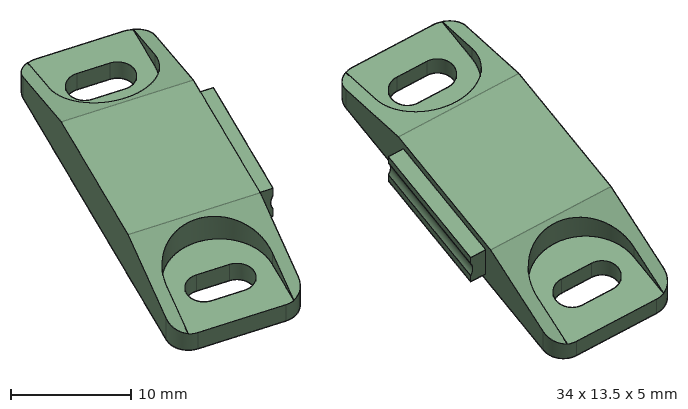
import cadquery as cq

length = 34.0
body_width = 12.0
height = 5.0
end_height = 2.0
flat_length = 14.0
corner_radius = 2.0

overall_width = 13.5
tab_length = 12.5
tab_height = 3.4
tab_bottom = 0.78
groove_height = 1.65
groove_depth = 0.2

recess_width = 9.6
recess_center_from_end = 4.7
slot_center_from_end = 4.5
slot_width = 3.2
slot_length = 6.2

middle_y = body_width / 2


def make_body():
    half_length = length / 2
    half_flat = flat_length / 2
    profile = [
        (-half_length, 0),
        (half_length, 0),
        (half_length, end_height),
        (half_flat, height),
        (-half_flat, height),
        (-half_length, end_height),
    ]
    body = cq.Workplane("XZ").polyline(profile).close().extrude(-body_width)
    rounded_block = (
        cq.Workplane("XY")
        .center(0, middle_y)
        .rect(length, body_width)
        .extrude(height)
        .edges("|Z")
        .fillet(corner_radius)
    )
    return body.intersect(rounded_block)


def make_tab():
    tab_depth = overall_width - body_width
    groove_bottom = tab_bottom + (tab_height - groove_height) / 2
    tab = cq.Workplane("XY").box(tab_length, tab_depth, tab_height, centered=(True, False, False))
    tab = tab.translate((0, body_width, tab_bottom))
    groove = (
        cq.Workplane("YZ", origin=(-tab_length / 2, 0, 0))
        .moveTo(overall_width, groove_bottom)
        .threePointArc(
            (overall_width - groove_depth, groove_bottom + groove_height / 2),
            (overall_width, groove_bottom + groove_height),
        )
        .close()
        .extrude(tab_length)
    )
    return tab.cut(groove)


def make_mounting_cut(side):
    """Round-ended recess open at one end of the body, with a through slot in its floor."""
    end_x = side * length / 2
    recess_x = end_x - side * recess_center_from_end
    slot_x = end_x - side * slot_center_from_end
    recess_radius = recess_width / 2
    recess = (
        cq.Workplane("XY", origin=(0, middle_y, end_height))
        .moveTo(end_x, -recess_radius)
        .lineTo(recess_x, -recess_radius)
        .threePointArc((recess_x - side * recess_radius, 0), (recess_x, recess_radius))
        .lineTo(end_x, recess_radius)
        .close()
        .extrude(height - end_height)
    )
    slot = (
        cq.Workplane("XY")
        .center(slot_x, middle_y)
        .slot2D(slot_length, slot_width, 90)
        .extrude(height)
    )
    return recess.union(slot)


result = make_body().union(make_tab())
for side in (-1, 1):
    result = result.cut(make_mounting_cut(side))